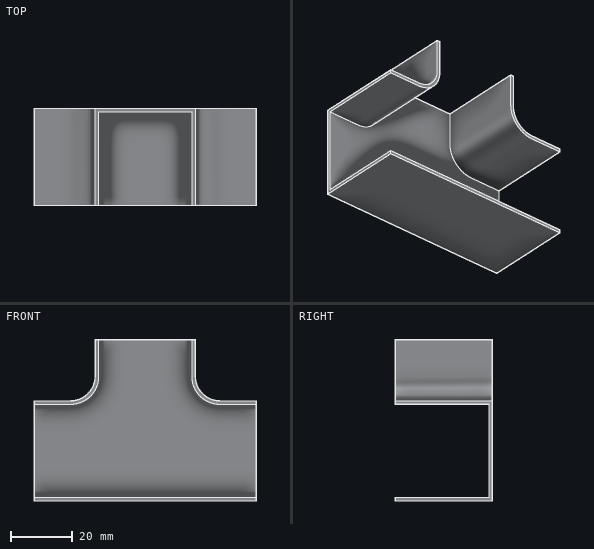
import cadquery as cq


wall = 1.2
channel_width = 32.9
depth = 31.9
arm_length = 20.0
corner_radius = 8.0

half_length = channel_width / 2 + arm_length
total_height = channel_width + arm_length
front_y = -depth / 2


def tee_prism(inset, prism_depth):
    """Tee with its side walls moved in by `inset`, running back from the front edge.

    The three arm ends stay in place, so an inset tee opens through them.
    """
    half_branch = channel_width / 2 - inset
    run_bottom = inset
    run_top = channel_width - inset
    run = cq.Workplane("XY").box(
        2 * half_length, prism_depth, run_top - run_bottom, centered=(True, False, False)
    )
    branch = cq.Workplane("XY").box(
        2 * half_branch, prism_depth, total_height - run_bottom, centered=(True, False, False)
    )
    tee = run.union(branch).translate((0, front_y, run_bottom))

    around_corners = cq.selectors.BoxSelector(
        (-half_branch - wall, front_y, run_top - wall),
        (half_branch + wall, front_y + prism_depth, run_top + wall),
    )
    return tee.edges("|Y").edges(around_corners).fillet(corner_radius + inset)


outside = tee_prism(0, depth)
passage = tee_prism(wall, depth - wall)
result = outside.cut(passage)